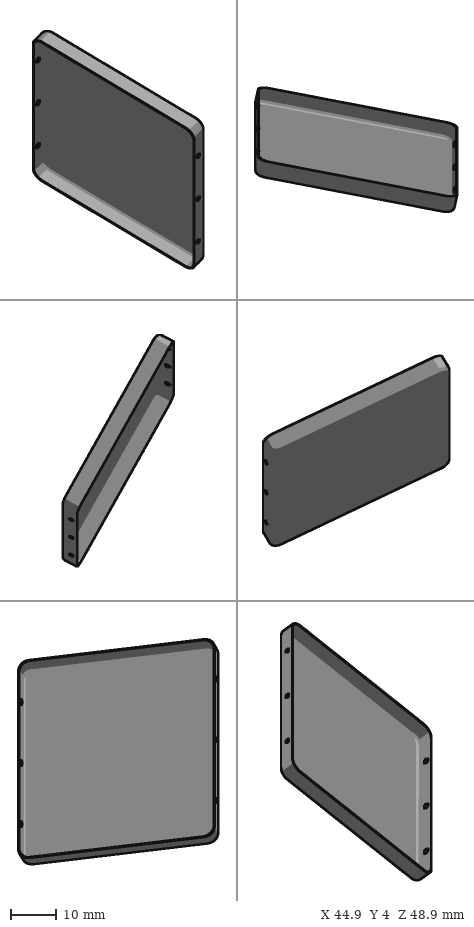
import cadquery as cq

width = 44.9
depth = 4.0
height = 48.9
wall = 0.3
corner_radius = 2.6
floor_edge_radius = 1.1

dimple_pitch = 15.0
dimple_from_rim = 1.4
dimple_radius = 0.55
dimple_depth = 0.3
dimple_sphere = (dimple_radius**2 + dimple_depth**2) / (2 * dimple_depth)
bump_sphere = dimple_sphere + wall

rim_y = -depth / 2


def rounded_block(inset):
    """Block inset from the tray's outside, with rounded corners and rounded back edge."""
    return (
        cq.Workplane("XZ", origin=(0, rim_y, 0))
        .rect(width - 2 * inset, height - 2 * inset)
        .extrude(-(depth - inset))
        .edges("|Y")
        .fillet(corner_radius - inset)
        .faces(">Y")
        .edges()
        .fillet(floor_edge_radius - inset)
    )


def ball(radius, centre):
    """Sphere with its seam turned to Y, clear of the side walls."""
    return cq.Workplane("XY").sphere(radius).rotate((0, 0, 0), (0, 0, 1), 90).translate(centre)


shell = rounded_block(0)
cavity = rounded_block(wall)

for side in (-1, 1):
    sphere_x = side * (width / 2 + dimple_sphere - dimple_depth)
    for row in (-1, 0, 1):
        centre = (sphere_x, rim_y + dimple_from_rim, row * dimple_pitch)
        shell = shell.cut(ball(dimple_sphere, centre))
        cavity = cavity.cut(ball(bump_sphere, centre))

result = shell.cut(cavity)